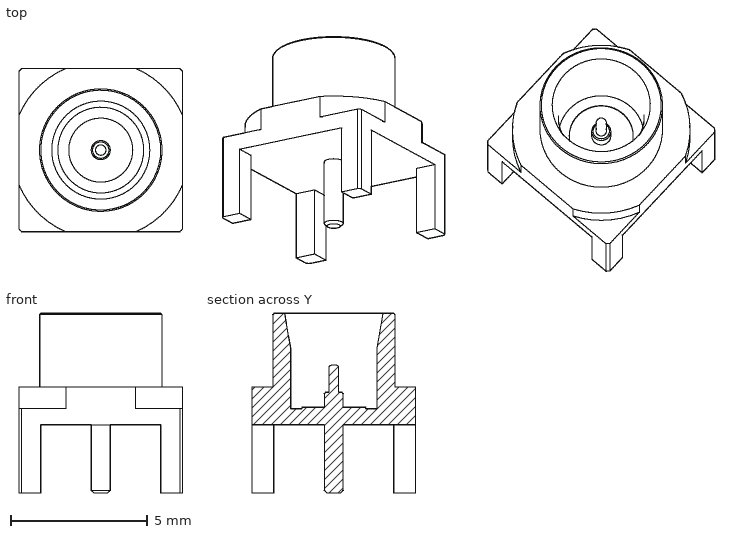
import cadquery as cq

base_width = 6.0
total_height = 6.6
leg_width = 0.8
leg_height = 2.5
corner_chamfer = 0.1

shoulder_bottom = 3.1
shoulder_top = 3.9
shoulder_diameter = 6.52

barrel_diameter = 4.5
barrel_chamfer = 0.05
socket_mouth_diameter = 3.6
socket_diameter = 3.15
socket_taper_depth = 1.3
socket_floor = 3.1

insulator_diameter = 2.35
insulator_rise = 0.05

pin_diameter = 0.7
pin_chamfer = 0.1
pin_shoulder_chamfer = 0.05
pin_shoulder_rise = 0.6
tip_diameter = 0.38
tip_fillet = 0.1
tip_height = 1.0


def cylinder(diameter, bottom, top):
    """Cylinder on the Z axis between two heights."""
    return cq.Workplane("XY").workplane(offset=bottom).circle(diameter / 2).extrude(top - bottom)


def make_base():
    """Square block with four legs below and a round shoulder above."""
    block = cq.Workplane("XY").rect(base_width, base_width).extrude(shoulder_top)
    block = block.edges("|Z").chamfer(corner_chamfer)
    gap = base_width - 2 * leg_width
    for size_x, size_y in ((gap, base_width), (base_width, gap)):
        block = block.cut(cq.Workplane("XY").rect(size_x, size_y).extrude(leg_height))
    corner_trim = (
        cq.Workplane("XY")
        .workplane(offset=shoulder_bottom)
        .rect(base_width, base_width)
        .extrude(shoulder_top - shoulder_bottom)
        .cut(cylinder(shoulder_diameter, shoulder_bottom, shoulder_top))
    )
    return block.cut(corner_trim)


def make_barrel():
    barrel = cylinder(barrel_diameter, shoulder_bottom, total_height)
    return barrel.faces(">Z").chamfer(barrel_chamfer)


def make_socket():
    """Blind bore with a tapered mouth."""
    taper_bottom = total_height - socket_taper_depth
    profile = (
        cq.Workplane("XZ")
        .moveTo(0, socket_floor)
        .lineTo(socket_diameter / 2, socket_floor)
        .lineTo(socket_diameter / 2, taper_bottom)
        .lineTo(socket_mouth_diameter / 2, total_height)
        .lineTo(0, total_height)
        .close()
    )
    return profile.revolve(360, (0, 0, 0), (0, 1, 0))


def make_insulator():
    return cylinder(insulator_diameter, leg_height, socket_floor + insulator_rise)


def make_contact():
    shoulder = socket_floor + pin_shoulder_rise
    pin = cylinder(pin_diameter, 0, shoulder)
    pin = pin.faces("<Z").chamfer(pin_chamfer)
    pin = pin.faces(">Z").chamfer(pin_shoulder_chamfer)
    tip = cylinder(tip_diameter, shoulder, shoulder + tip_height)
    tip = tip.faces(">Z").edges().fillet(tip_fillet)
    return pin.union(tip)


shell = make_base().union(make_barrel()).cut(make_socket())
result = shell.union(make_insulator()).union(make_contact())